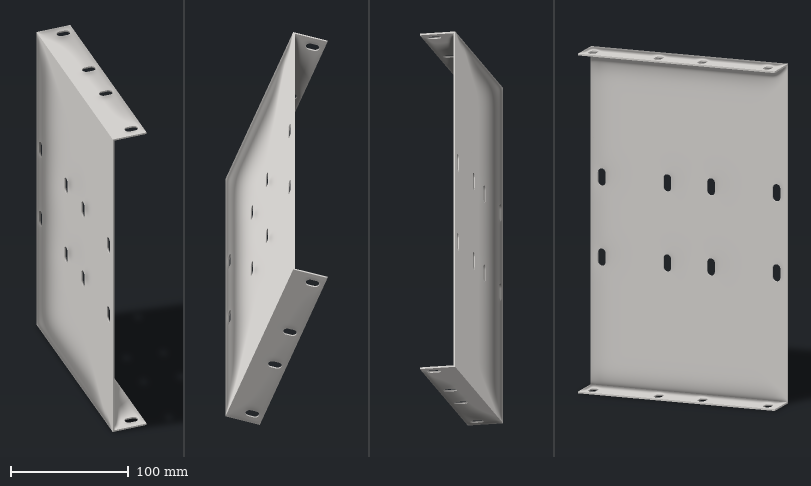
import cadquery as cq

width = 180.0
depth = 31.0
height = 296.7
sheet = 1.5

slot_width = 7.0
web_slot_length = 15.0
flange_slot_length = 12.0
outer_column_spacing = 160.0
inner_column_spacing = 40.0
web_row_spacing = 70.0

flange_slot_inset = 10.0

columns = [
    side * spacing / 2
    for spacing in (outer_column_spacing, inner_column_spacing)
    for side in (-1, 1)
]


def channel():
    """Web at the front (-Y) with two flanges pointing back (+Y)."""
    outer = cq.Workplane("XY").box(width, depth, height)
    inside = (
        cq.Workplane("XY")
        .box(width, depth, height - 2 * sheet)
        .translate((0, sheet, 0))
    )
    return outer.cut(inside)


def web_slots():
    """Two rows of upright slots through the web."""
    rows = [side * web_row_spacing / 2 for side in (-1, 1)]
    return (
        cq.Workplane("XZ")
        .pushPoints([(x, z) for x in columns for z in rows])
        .slot2D(web_slot_length, slot_width, 90)
        .extrude(depth, both=True)
    )


def flange_slots():
    """One row of slots through both flanges, running front to back."""
    row = depth / 2 - flange_slot_inset
    return (
        cq.Workplane("XY")
        .pushPoints([(x, row) for x in columns])
        .slot2D(flange_slot_length, slot_width, 90)
        .extrude(height, both=True)
    )


result = channel().cut(web_slots()).cut(flange_slots())